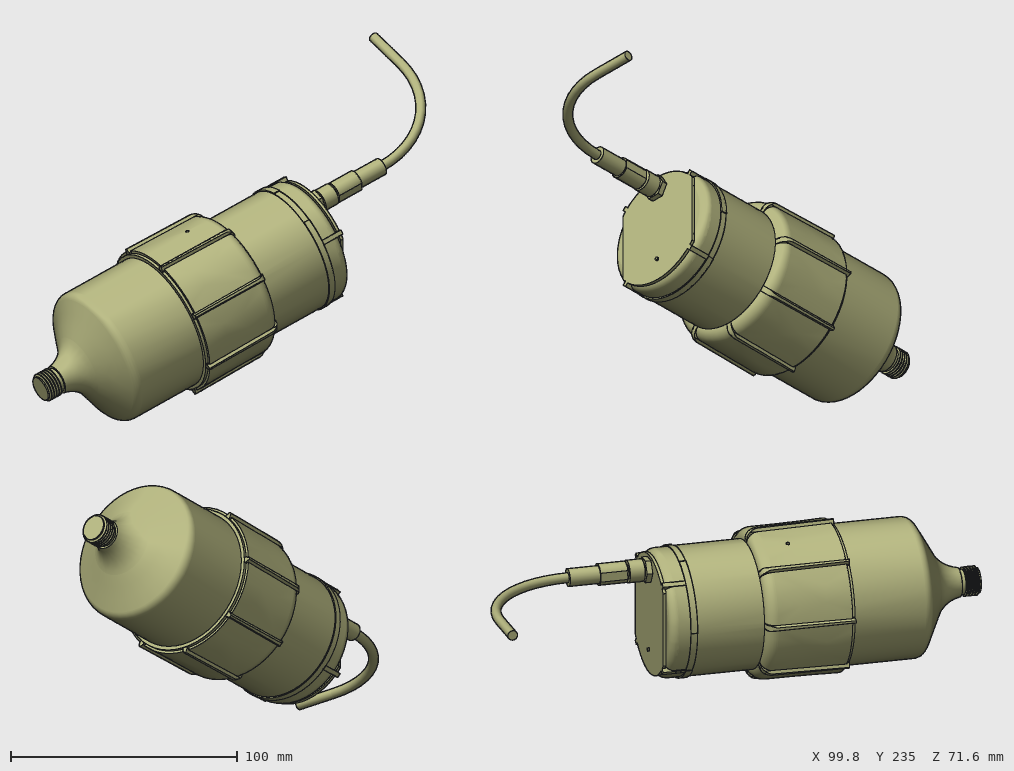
import cadquery as cq
import math


THREAD_ROOT_RADIUS = 5.6
THREAD_CREST_RADIUS = 6.5
THREAD_PITCH = 1.35
THREAD_FLAT = 0.33
THREAD_COUNT = 5
SPOUT_TIP_LENGTH = 0.7
THREAD_END_Y = SPOUT_TIP_LENGTH + THREAD_PITCH * THREAD_COUNT
SPOUT_NECK_Y = 9.0

BOWL_RADIUS = 31.5
BOWL_SHOULDER_Y = 33.0
CONE_ANGLE = math.radians(30)
SHOULDER_RADIUS = 4.2
FLARE_RADIUS = 17.0
FLARE_OUTER_RADIUS = 14.8

COLLAR_BOTTOM_Y = 67.7
COLLAR_TOP_Y = 106.7
COLLAR_BOTTOM_RADIUS = 34.3
COLLAR_TOP_RADIUS = 33.9
COLLAR_FILLET = 5.2
COLLAR_LIP_RADIUS = 33.1
COLLAR_LIP_Y = 66.3
RIB_COUNT = 8
RIB_BASE_WIDTH = 2.5
RIB_CREST_WIDTH = 1.0
RIB_HEIGHT = 1.5
RIB_BOTTOM_Y = 66.5
VENT_DIAMETER = 1.5
VENT_DEPTH = 1.2
VENT_Y = 91.2
VENT_TILT = -180 / RIB_COUNT

HOUSING_RADIUS = 58.0 / 2
LOCK_RING_RADIUS = 29.6
LOCK_RING_BOTTOM_Y = 137.5
LOCK_RING_TOP_Y = 140.5
LOCK_NOTCH_DEPTH = 0.35
LOCK_NOTCH_SPAN = 43.4
LOCK_NOTCH_ANGLES = (90.0, 202.0)
CAP_RADIUS = 29.0
CAP_CROWN_Y = 149.8
CAP_EDGE_FILLET = 4.0
PLATE_TOP_Y = 151.2
PLATE_RADIUS = 27.5
PLATE_HALF_WIDTH = 21.6
LUG_WIDTH = 2.0
LUG_OUTER_RADIUS = 29.5
LUG_INNER_RADIUS = 22.3
LUG_ANGLES = (45, 135, 225, 315)
PIN_DIAMETER = 1.5
PIN_HEIGHT = 0.7
PIN_Z = -16.7

CABLE_Z = 21.0
NUT_ACROSS_FLATS = 10.0
NUT_TOP_Y = 153.8
STEM_DIAMETER = 6.8
COUPLING_DIAMETER = 10.0
COUPLING_BOTTOM_Y = 154.5
COUPLING_TOP_Y = 161.3
GRIP_DIAMETER = 9.6
GRIP_ACROSS_FLATS = 8.7
GRIP_BOTTOM_Y = 162.2
GRIP_TOP_Y = 174.7
SLEEVE_DIAMETER = 8.0
SLEEVE_TOP_Y = 188.5
CABLE_DIAMETER = 4.5
CABLE_END_X = -64.0
OVERALL_LENGTH = 235.0
CABLE_BEND_RADIUS = OVERALL_LENGTH - CABLE_DIAMETER / 2 - SLEEVE_TOP_Y


def cylinder(radius, start_y, end_y, z=0.0):
    """Solid cylinder along +Y from start_y to end_y."""
    base = cq.Workplane(cq.Plane((0, start_y, z), (1, 0, 0), (0, 1, 0)))
    return base.circle(radius).extrude(end_y - start_y)


def revolved(profile):
    """Turn a closed (radius, Y) profile about the Y axis."""
    return profile.close().revolve(360, (0, 0, 0), (0, 1, 0))


def make_spout():
    profile = cq.Workplane("XY").lineTo(THREAD_ROOT_RADIUS, 0)
    for turn in range(THREAD_COUNT):
        root_y = SPOUT_TIP_LENGTH + turn * THREAD_PITCH
        crest_y = root_y + (THREAD_PITCH - THREAD_FLAT) / 2
        profile = profile.lineTo(THREAD_ROOT_RADIUS, root_y)
        profile = profile.lineTo(THREAD_CREST_RADIUS, crest_y)
        profile = profile.lineTo(THREAD_CREST_RADIUS, crest_y + THREAD_FLAT)
        profile = profile.lineTo(THREAD_ROOT_RADIUS, root_y + THREAD_PITCH - THREAD_FLAT)
    profile = profile.lineTo(THREAD_ROOT_RADIUS, THREAD_END_Y)
    profile = profile.lineTo(THREAD_ROOT_RADIUS, SPOUT_NECK_Y).lineTo(0, SPOUT_NECK_Y)
    return revolved(profile)


def make_bowl():
    shoulder_center = BOWL_RADIUS - SHOULDER_RADIUS

    def shoulder_point(turn):
        radius = shoulder_center + SHOULDER_RADIUS * math.cos(turn)
        return radius, BOWL_SHOULDER_Y - SHOULDER_RADIUS * math.sin(turn)

    cone_turn = math.pi / 2 - CONE_ANGLE
    cone_top = shoulder_point(cone_turn)

    cone_drop = (cone_top[0] - FLARE_OUTER_RADIUS) * math.tan(CONE_ANGLE)
    flare_top = (FLARE_OUTER_RADIUS, cone_top[1] - cone_drop)
    flare_center_r = flare_top[0] + FLARE_RADIUS * math.sin(CONE_ANGLE)
    flare_center_y = flare_top[1] - FLARE_RADIUS * math.cos(CONE_ANGLE)

    def flare_point(angle):
        radius = flare_center_r - FLARE_RADIUS * math.cos(angle)
        return radius, flare_center_y + FLARE_RADIUS * math.sin(angle)

    neck_angle = math.asin((SPOUT_NECK_Y - flare_center_y) / FLARE_RADIUS)
    flare_middle = flare_point((neck_angle + cone_turn) / 2)

    profile = (
        cq.Workplane("XY")
        .moveTo(0, SPOUT_NECK_Y)
        .lineTo(*flare_point(neck_angle))
        .threePointArc(flare_middle, flare_top)
        .lineTo(*cone_top)
        .threePointArc(shoulder_point(cone_turn / 2), (BOWL_RADIUS, BOWL_SHOULDER_Y))
        .lineTo(BOWL_RADIUS, COLLAR_BOTTOM_Y)
        .lineTo(0, COLLAR_BOTTOM_Y)
    )
    return revolved(profile)


def collar_blank(bottom_y, growth):
    """Tapered, round-topped collar body, enlarged radially by growth."""
    bottom_radius = COLLAR_BOTTOM_RADIUS + growth
    top_radius = COLLAR_TOP_RADIUS + growth
    profile = (
        cq.Workplane("XY")
        .moveTo(0, bottom_y)
        .lineTo(bottom_radius, bottom_y)
        .lineTo(top_radius, COLLAR_TOP_Y - COLLAR_FILLET)
        .radiusArc((top_radius - COLLAR_FILLET, COLLAR_TOP_Y), -COLLAR_FILLET)
        .lineTo(0, COLLAR_TOP_Y)
    )
    return revolved(profile)


def make_collar():
    collar = collar_blank(COLLAR_BOTTOM_Y, 0)
    collar = collar.union(cylinder(COLLAR_LIP_RADIUS, COLLAR_LIP_Y, COLLAR_BOTTOM_Y))

    base_radius = COLLAR_TOP_RADIUS - COLLAR_FILLET
    base_half = RIB_BASE_WIDTH / 2
    crest_radius = COLLAR_BOTTOM_RADIUS + RIB_HEIGHT
    crest_half = RIB_CREST_WIDTH / 2
    bar_height = COLLAR_TOP_Y - RIB_BOTTOM_Y
    rib_blank = collar_blank(RIB_BOTTOM_Y, RIB_HEIGHT)
    bowl_room = cylinder(BOWL_RADIUS, RIB_BOTTOM_Y, COLLAR_BOTTOM_Y)
    for index in range(RIB_COUNT):
        bar = (
            cq.Workplane("XZ", origin=(0, COLLAR_TOP_Y, 0))
            .moveTo(base_radius, base_half)
            .lineTo(COLLAR_TOP_RADIUS, base_half)
            .lineTo(crest_radius, crest_half)
            .lineTo(crest_radius, -crest_half)
            .lineTo(COLLAR_TOP_RADIUS, -base_half)
            .lineTo(base_radius, -base_half)
            .close()
            .extrude(bar_height)
        )
        bar = bar.rotate((0, 0, 0), (0, 1, 0), index * 360 / RIB_COUNT)
        collar = collar.union(rib_blank.intersect(bar).cut(bowl_room))

    vent_floor = COLLAR_TOP_RADIUS - VENT_DEPTH
    vent = cq.Workplane("XY", origin=(0, VENT_Y, vent_floor))
    vent = vent.circle(VENT_DIAMETER / 2).extrude(2 * VENT_DEPTH)
    return collar.cut(vent.rotate((0, 0, 0), (0, 1, 0), VENT_TILT))


def make_lock_ring():
    ring = cylinder(LOCK_RING_RADIUS, LOCK_RING_BOTTOM_Y, LOCK_RING_TOP_Y)
    ring_height = LOCK_RING_TOP_Y - LOCK_RING_BOTTOM_Y
    notch_floor = LOCK_RING_RADIUS - LOCK_NOTCH_DEPTH
    half_span = math.radians(LOCK_NOTCH_SPAN / 2)
    reach = 2 * LOCK_RING_RADIUS
    for angle in LOCK_NOTCH_ANGLES:
        wedge = (
            cq.Workplane("XZ", origin=(0, LOCK_RING_TOP_Y, 0))
            .lineTo(reach * math.cos(half_span), reach * math.sin(half_span))
            .lineTo(reach * math.cos(half_span), -reach * math.sin(half_span))
            .close()
            .extrude(ring_height)
            .rotate((0, 0, 0), (0, 1, 0), -angle)
        )
        core = cylinder(notch_floor, LOCK_RING_BOTTOM_Y, LOCK_RING_TOP_Y)
        ring = ring.cut(wedge.cut(core))
    return ring


def make_cap():
    profile = (
        cq.Workplane("XY")
        .moveTo(0, LOCK_RING_TOP_Y)
        .lineTo(CAP_RADIUS, LOCK_RING_TOP_Y)
        .lineTo(CAP_RADIUS, CAP_CROWN_Y - CAP_EDGE_FILLET)
        .radiusArc((CAP_RADIUS - CAP_EDGE_FILLET, CAP_CROWN_Y), -CAP_EDGE_FILLET)
        .lineTo(0, CAP_CROWN_Y)
    )
    cap = revolved(profile)

    plate_height = PLATE_TOP_Y - CAP_CROWN_Y
    strip = cq.Workplane("XY").box(2 * PLATE_HALF_WIDTH, plate_height, 2 * PLATE_RADIUS)
    strip = strip.translate((0, CAP_CROWN_Y + plate_height / 2, 0))
    cap = cap.union(cylinder(PLATE_RADIUS, CAP_CROWN_Y, PLATE_TOP_Y).intersect(strip))

    lug_height = PLATE_TOP_Y - LOCK_RING_TOP_Y
    lug_length = LUG_OUTER_RADIUS - LUG_INNER_RADIUS
    for angle in LUG_ANGLES:
        lug = cq.Workplane("XY").box(lug_length, lug_height, LUG_WIDTH)
        lug = lug.translate((LUG_INNER_RADIUS + lug_length / 2, LOCK_RING_TOP_Y + lug_height / 2, 0))
        cap = cap.union(lug.rotate((0, 0, 0), (0, 1, 0), angle))

    return cap.union(cylinder(PIN_DIAMETER / 2, CAP_CROWN_Y, PLATE_TOP_Y + PIN_HEIGHT, z=PIN_Z))


def make_connector():
    nut_plane = cq.Plane((0, CAP_CROWN_Y, CABLE_Z), (1, 0, 0), (0, 1, 0))
    across_corners = NUT_ACROSS_FLATS / math.cos(math.pi / 6)
    nut = cq.Workplane(nut_plane).polygon(6, across_corners).extrude(NUT_TOP_Y - CAP_CROWN_Y)

    stem = cylinder(STEM_DIAMETER / 2, CAP_CROWN_Y, GRIP_TOP_Y, z=CABLE_Z)
    coupling = cylinder(COUPLING_DIAMETER / 2, COUPLING_BOTTOM_Y, COUPLING_TOP_Y, z=CABLE_Z)
    sleeve = cylinder(SLEEVE_DIAMETER / 2, GRIP_TOP_Y, SLEEVE_TOP_Y, z=CABLE_Z)

    grip_length = GRIP_TOP_Y - GRIP_BOTTOM_Y
    flats = cq.Workplane("XY").box(GRIP_ACROSS_FLATS, grip_length, GRIP_DIAMETER)
    flats = flats.translate((0, GRIP_BOTTOM_Y + grip_length / 2, CABLE_Z))
    grip = cylinder(GRIP_DIAMETER / 2, GRIP_BOTTOM_Y, GRIP_TOP_Y, z=CABLE_Z).intersect(flats)

    return nut.union(stem).union(coupling).union(grip).union(sleeve)


def make_cable():
    bend_end_y = SLEEVE_TOP_Y + CABLE_BEND_RADIUS
    path = (
        cq.Workplane("XY", origin=(0, 0, CABLE_Z))
        .moveTo(0, SLEEVE_TOP_Y)
        .radiusArc((-CABLE_BEND_RADIUS, bend_end_y), -CABLE_BEND_RADIUS)
        .lineTo(CABLE_END_X, bend_end_y)
    )
    section_plane = cq.Plane((0, SLEEVE_TOP_Y, CABLE_Z), (1, 0, 0), (0, 1, 0))
    return cq.Workplane(section_plane).circle(CABLE_DIAMETER / 2).sweep(path)


housing = cylinder(HOUSING_RADIUS, COLLAR_BOTTOM_Y, LOCK_RING_TOP_Y)

result = (
    make_bowl()
    .union(make_spout())
    .union(housing)
    .union(make_collar())
    .union(make_lock_ring())
    .union(make_cap())
    .union(make_connector())
    .union(make_cable())
)